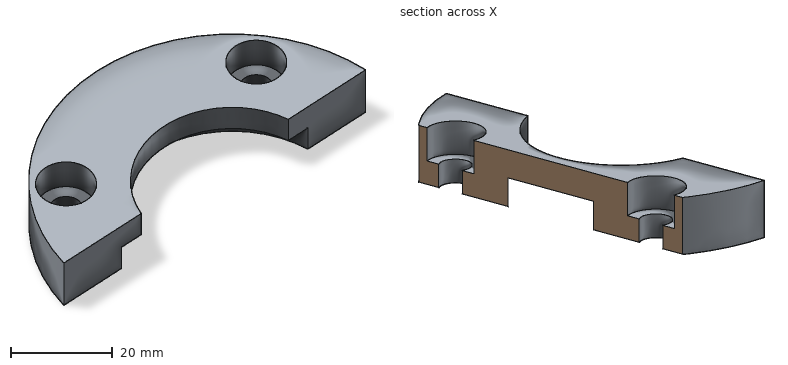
import cadquery as cq
import math

length = 79.4
width = 34.85
thickness = 12.0
inner_radius = 20.0

half_length = length / 2
outer_radius = (half_length**2 + width**2) / (2 * width)
cut_x = width - outer_radius

recess_radius = 25.0
recess_height = thickness / 2

hole_x = -21.0
hole_spacing = 50.0
hole_diameter = 6.6
counterbore_diameter = 12.0
counterbore_depth = 7.0


def half_disc(radius, height):
    """Disc about the Z axis, resting on Z = 0 and kept only on the -X side of the cut face."""
    half_chord = math.sqrt(radius**2 - cut_x**2)
    return (
        cq.Workplane("XY")
        .moveTo(cut_x, half_chord)
        .threePointArc((-radius, 0), (cut_x, -half_chord))
        .close()
        .extrude(height)
    )


def ring_segment():
    """Arc-shaped plate, with the ring axis on Z and the flat faces toward +X."""
    plate = half_disc(outer_radius, thickness)
    bore = half_disc(inner_radius, thickness)
    recess = half_disc(recess_radius, recess_height)
    return plate.cut(bore).cut(recess)


def add_screw_holes(body):
    """Two through holes, counterbored from the top face."""
    hole_centers = [(hole_x, side * hole_spacing / 2) for side in (-1, 1)]
    return (
        body.faces(">Z")
        .workplane(origin=(0, 0, thickness))
        .pushPoints(hole_centers)
        .cboreHole(hole_diameter, counterbore_diameter, counterbore_depth)
    )


result = add_screw_holes(ring_segment())